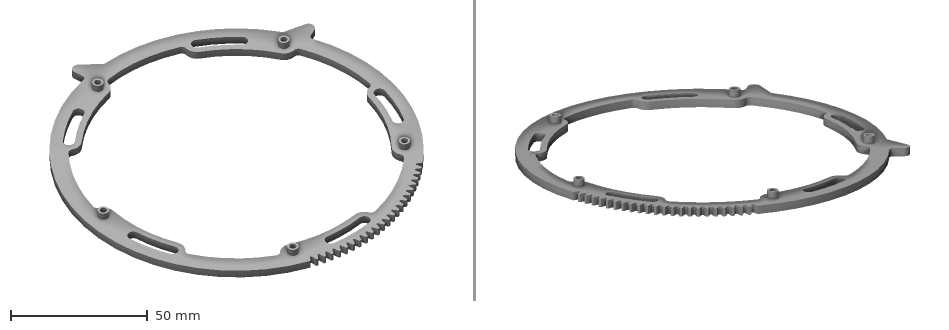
import cadquery as cq
import math

PLATE_THICKNESS = 3.2
TOTAL_HEIGHT = 6.05
RIM_WIDTH = 7.0

MODULE = 1.0
TOOTH_COUNT_FULL_CIRCLE = 135
GAPS_EACH_SIDE = 11
DEDENDUM_FACTOR = 1.25
PRESSURE_ANGLE = math.radians(20)
PITCH_RADIUS = MODULE * TOOTH_COUNT_FULL_CIRCLE / 2
OUTER_RADIUS = PITCH_RADIUS + MODULE
ROOT_RADIUS = PITCH_RADIUS - DEDENDUM_FACTOR * MODULE
INNER_RADIUS = OUTER_RADIUS - RIM_WIDTH
TOOTH_PITCH_ANGLE = 360 / TOOTH_COUNT_FULL_CIRCLE

PAD_COUNT = 5
PAD_SPACING = 360 / PAD_COUNT
PAD_CIRCLE_RADIUS = INNER_RADIUS
FIRST_BOSS_ANGLE = 38.05
PAD_SWEEP = 30.0
SLOT_SWEEP = 15.5
PAD_FILLET = 2.0
SLOT_WIDTH = 4.4
SLOT_WALL = 2.5
PAD_WIDTH = SLOT_WIDTH + 2 * SLOT_WALL
BOSS_DIAMETER = 4.2
BOSS_HOLE_DIAMETER = 2.65

LUG_REACH = 76.01
LUG_TIP_RADIUS = 2.4
LUG_SLOPE_END_ANGLE = 171.5
LUG_FILLET = 1.5
LUG_MIRROR_ANGLE = 141.8


def polar(radius, angle):
    """Point at a radius and an angle in degrees."""
    return (radius * math.cos(math.radians(angle)), radius * math.sin(math.radians(angle)))


def disc(radius, height=PLATE_THICKNESS, center=(0, 0)):
    return cq.Workplane("XY").center(*center).circle(radius).extrude(height)


def curved_bar(start_angle, end_angle, width):
    """Round-ended bar that follows the pad circle."""
    inner = PAD_CIRCLE_RADIUS - width / 2
    outer = PAD_CIRCLE_RADIUS + width / 2
    middle_angle = (start_angle + end_angle) / 2
    return (
        cq.Workplane("XY")
        .moveTo(*polar(inner, start_angle))
        .threePointArc(polar(inner, middle_angle), polar(inner, end_angle))
        .tangentArcPoint(polar(outer, end_angle), relative=False)
        .threePointArc(polar(outer, middle_angle), polar(outer, start_angle))
        .tangentArcPoint(polar(inner, start_angle), relative=False)
        .close()
        .extrude(PLATE_THICKNESS)
    )


def tooth_gap():
    """Space between two teeth, pointing along +X, with straight flanks."""
    half_pitch_gap = math.pi * MODULE / 4
    slope = math.tan(PRESSURE_ANGLE)
    mouth_radius = OUTER_RADIUS + MODULE
    half_root = half_pitch_gap - (PITCH_RADIUS - ROOT_RADIUS) * slope
    half_mouth = half_pitch_gap + (mouth_radius - PITCH_RADIUS) * slope
    return (
        cq.Workplane("XY")
        .polyline([
            (ROOT_RADIUS, -half_root),
            (mouth_radius, -half_mouth),
            (mouth_radius, half_mouth),
            (ROOT_RADIUS, half_root),
        ])
        .close()
        .extrude(PLATE_THICKNESS)
    )


def lug():
    """Lug near -X: flat edge along the X axis, rounded tip, sloping edge back to the rim."""
    tip_x = LUG_TIP_RADIUS - LUG_REACH
    tip_y = LUG_TIP_RADIUS
    slope_end = polar(OUTER_RADIUS, LUG_SLOPE_END_ANGLE)

    run_x = slope_end[0] - tip_x
    run_y = slope_end[1] - tip_y
    tangent_angle = math.atan2(run_y, run_x) + math.acos(LUG_TIP_RADIUS / math.hypot(run_x, run_y))
    tangent_point = (
        tip_x + LUG_TIP_RADIUS * math.cos(tangent_angle),
        tip_y + LUG_TIP_RADIUS * math.sin(tangent_angle),
    )

    fillet_center_radius = OUTER_RADIUS + LUG_FILLET
    fillet_x = -math.sqrt(fillet_center_radius**2 - LUG_FILLET**2)
    rim_ratio = OUTER_RADIUS / fillet_center_radius
    fillet_rim_point = (fillet_x * rim_ratio, -LUG_FILLET * rim_ratio)

    return (
        cq.Workplane("XY")
        .moveTo(*slope_end)
        .lineTo(*tangent_point)
        .threePointArc((-LUG_REACH, tip_y), (tip_x, 0))
        .lineTo(fillet_x, 0)
        .tangentArcPoint(fillet_rim_point, relative=False)
        .lineTo(-INNER_RADIUS, fillet_rim_point[1])
        .lineTo(-INNER_RADIUS, slope_end[1])
        .close()
        .extrude(PLATE_THICKNESS)
    )


def mirrored_lug():
    """The lug reflected across the radial line at the mirror angle."""
    return lug().mirror("XZ").rotate((0, 0, 0), (0, 0, 1), 2 * LUG_MIRROR_ANGLE)


def pad_ring(boss_angles):
    """Flat ring with the inward pads, blended into the inner circle."""
    ring = disc(OUTER_RADIUS).cut(disc(INNER_RADIUS))
    for angle in boss_angles:
        ring = ring.union(curved_bar(angle, angle + PAD_SWEEP, PAD_WIDTH))
    return ring.edges("|Z").fillet(PAD_FILLET)


def cut_gear_teeth(body):
    for i in range(-GAPS_EACH_SIDE, GAPS_EACH_SIDE + 1):
        body = body.cut(tooth_gap().rotate((0, 0, 0), (0, 0, 1), i * TOOTH_PITCH_ANGLE))
    return body


def add_boss_and_slot(body, boss_angle):
    """Hollow boss at one end of a pad and a curved slot running to the other end."""
    center = polar(PAD_CIRCLE_RADIUS, boss_angle)
    slot_end = boss_angle + PAD_SWEEP
    body = body.cut(curved_bar(slot_end - SLOT_SWEEP, slot_end, SLOT_WIDTH))
    body = body.union(disc(BOSS_DIAMETER / 2, TOTAL_HEIGHT, center))
    return body.cut(disc(BOSS_HOLE_DIAMETER / 2, TOTAL_HEIGHT, center))


def build():
    boss_angles = [FIRST_BOSS_ANGLE + PAD_SPACING * i for i in range(PAD_COUNT)]
    body = pad_ring(boss_angles)
    body = body.union(lug()).union(mirrored_lug())
    body = cut_gear_teeth(body)
    for angle in boss_angles:
        body = add_boss_and_slot(body, angle)
    return body


result = build()